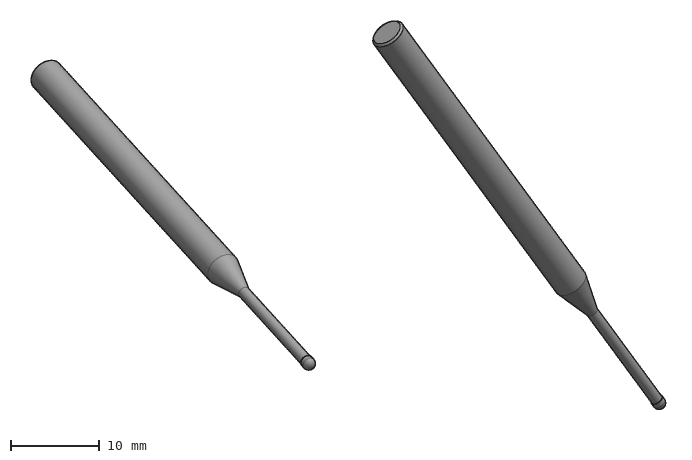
import cadquery as cq

total_length = 63.0
shank_radius = 4.0 / 2
shank_chamfer = 0.25
taper_start = 42.0
taper_end = 46.95
neck_radius = 0.7
ball_radius = 0.75
head_length = 1.3

head_start = total_length - head_length
ball_center = total_length - ball_radius
arc_reach = ball_radius * 0.5 ** 0.5

profile = (
    cq.Workplane("XY")
    .moveTo(0, 0)
    .lineTo(0, shank_radius - shank_chamfer)
    .lineTo(shank_chamfer, shank_radius)
    .lineTo(taper_start, shank_radius)
    .lineTo(taper_end, neck_radius)
    .lineTo(head_start, neck_radius)
    .lineTo(head_start, ball_radius)
    .lineTo(ball_center, ball_radius)
    .threePointArc((ball_center + arc_reach, arc_reach), (total_length, 0))
    .close()
)

result = profile.revolve(360, (0, 0, 0), (1, 0, 0))